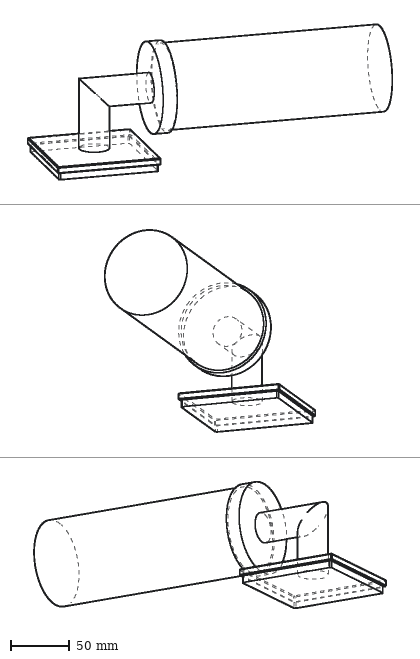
import cadquery as cq

cover_side = 92.3
cover_thickness = 6.0
cover_edge_chamfer = 1.0
base_side = 88.7
base_thickness = 6.0
base_corner_chamfer = 1.2

arm_diameter = 26.2
flange_diameter = 80.0
flange_thickness = 12.7
flange_front_y = 96.0
body_diameter = 75.5

total_length = 301.7
total_height = 101.7

plate_center_y = cover_side / 2
plate_top_z = base_thickness + cover_thickness
axis_z = total_height - flange_diameter / 2


def wall_plate():
    base = (
        cq.Workplane("XY")
        .center(0, plate_center_y)
        .rect(base_side, base_side)
        .extrude(base_thickness)
        .edges("|Z")
        .chamfer(base_corner_chamfer)
    )
    cover = (
        cq.Workplane("XY", origin=(0, plate_center_y, base_thickness))
        .rect(cover_side, cover_side)
        .extrude(cover_thickness)
        .edges()
        .chamfer(cover_edge_chamfer)
    )
    return base.union(cover)


def elbow_arm():
    """Round bar rising from the plate and turning toward +Y at a sharp mitre."""
    path = (
        cq.Workplane("YZ")
        .moveTo(plate_center_y, plate_top_z)
        .lineTo(plate_center_y, axis_z)
        .lineTo(flange_front_y, axis_z)
    )
    return (
        cq.Workplane("XY", origin=(0, plate_center_y, plate_top_z))
        .circle(arm_diameter / 2)
        .sweep(path, transition="right")
    )


def cylinder_along_y(diameter, start_y, end_y):
    return (
        cq.Workplane("XZ", origin=(0, start_y, axis_z))
        .circle(diameter / 2)
        .extrude(start_y - end_y)
    )


flange_back_y = flange_front_y + flange_thickness
flange = cylinder_along_y(flange_diameter, flange_front_y, flange_back_y)
body = cylinder_along_y(body_diameter, flange_back_y, total_length)

result = wall_plate().union(elbow_arm()).union(flange).union(body)